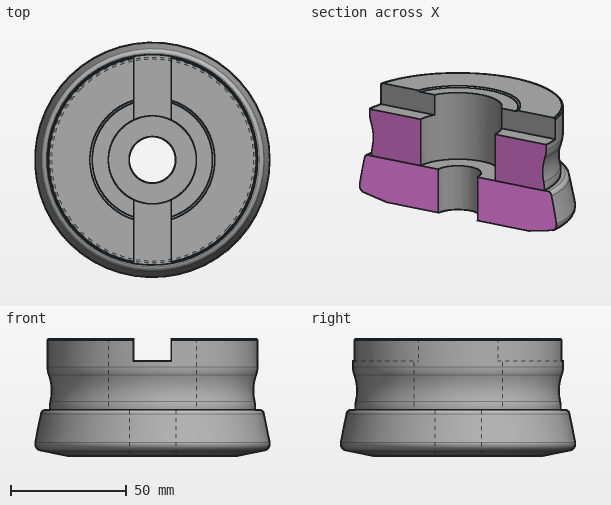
import cadquery as cq
import math

FOOT_DIAMETER = 101.5
TOTAL_HEIGHT = 50.8
FOOT_HEIGHT = 20.0

BOTTOM_FACE_DIAMETER = 73.1
FOOT_TAPER = 11.5
FOOT_LOWER_RADIUS = 3.0
FOOT_UPPER_RADIUS = 2.0
THROUGH_HOLE_DIAMETER = 20.0

HEAD_DIAMETER = 90.9
HEAD_BASE_DIAMETER = 88.8
HEAD_BORE_DIAMETER = 38.1
TOP_CHAMFER = 0.6
SHOULDER_Z = 38.6
WAIST_RADIUS = 20.3
WAIST_UPPER_ANGLE = 20.0
WAIST_LOWER_ANGLE = 13.0
SHOULDER_ARC_HEIGHT = 3.3

RECESS_DIAMETER = 54.0
RECESS_FLOOR_DIAMETER = 52.0
RECESS_DEPTH = 0.5
SLOT_WIDTH = 16.2
SLOT_DEPTH = 9.6


def point_on_arc(center, radius, degrees):
    """Point of a section arc; the angle is measured from +X toward +Z."""
    angle = math.radians(degrees)
    return (center[0] + radius * math.cos(angle), center[1] + radius * math.sin(angle))


def make_foot():
    taper = math.radians(FOOT_TAPER)
    bottom_r = BOTTOM_FACE_DIAMETER / 2
    hole_r = THROUGH_HOLE_DIAMETER / 2

    lower_x = FOOT_DIAMETER / 2 - FOOT_LOWER_RADIUS
    lower_z = FOOT_LOWER_RADIUS / math.cos(taper) + (lower_x - bottom_r) * math.tan(taper)
    lower = (lower_x, lower_z)

    upper_z = FOOT_HEIGHT - FOOT_UPPER_RADIUS
    radius_change = FOOT_LOWER_RADIUS - FOOT_UPPER_RADIUS
    upper_x = lower_x + radius_change / math.cos(taper) - (upper_z - lower_z) * math.tan(taper)
    upper = (upper_x, upper_z)

    lower_middle = FOOT_TAPER - 45
    upper_middle = (FOOT_TAPER + 90) / 2
    section = (
        cq.Workplane("XZ")
        .moveTo(hole_r, 0)
        .lineTo(bottom_r, 0)
        .lineTo(*point_on_arc(lower, FOOT_LOWER_RADIUS, FOOT_TAPER - 90))
        .threePointArc(
            point_on_arc(lower, FOOT_LOWER_RADIUS, lower_middle),
            point_on_arc(lower, FOOT_LOWER_RADIUS, FOOT_TAPER),
        )
        .lineTo(*point_on_arc(upper, FOOT_UPPER_RADIUS, FOOT_TAPER))
        .threePointArc(
            point_on_arc(upper, FOOT_UPPER_RADIUS, upper_middle),
            (upper_x, FOOT_HEIGHT),
        )
        .lineTo(hole_r, FOOT_HEIGHT)
        .close()
    )
    return section.revolve(360, (0, 0, 0), (0, 1, 0))


def make_head_blank():
    head_r = HEAD_DIAMETER / 2
    bore_r = HEAD_BORE_DIAMETER / 2
    base = (HEAD_BASE_DIAMETER / 2, FOOT_HEIGHT)

    shoulder_lean = math.tan(math.radians(WAIST_UPPER_ANGLE / 2))
    waist_top = (head_r - SHOULDER_ARC_HEIGHT * shoulder_lean, SHOULDER_Z - SHOULDER_ARC_HEIGHT)

    upper_angle = math.radians(WAIST_UPPER_ANGLE)
    waist_center = (
        waist_top[0] + WAIST_RADIUS * math.cos(upper_angle),
        waist_top[1] - WAIST_RADIUS * math.sin(upper_angle),
    )
    waist_middle = point_on_arc(waist_center, WAIST_RADIUS, 180)
    waist_bottom = point_on_arc(waist_center, WAIST_RADIUS, 180 + WAIST_LOWER_ANGLE)

    section = (
        cq.Workplane("XZ")
        .moveTo(bore_r, TOTAL_HEIGHT)
        .lineTo(head_r - TOP_CHAMFER, TOTAL_HEIGHT)
        .lineTo(head_r, TOTAL_HEIGHT - TOP_CHAMFER)
        .lineTo(head_r, SHOULDER_Z)
        .tangentArcPoint(waist_top, relative=False)
        .threePointArc(waist_middle, waist_bottom)
        .tangentArcPoint(base, relative=False)
        .lineTo(bore_r, FOOT_HEIGHT)
        .close()
    )
    return section.revolve(360, (0, 0, 0), (0, 1, 0))


def make_recess_cutter():
    """Shallow dish with a sloped rim around the bore."""
    return (
        cq.Workplane("XY", origin=(0, 0, TOTAL_HEIGHT))
        .circle(RECESS_DIAMETER / 2)
        .workplane(offset=-RECESS_DEPTH)
        .circle(RECESS_FLOOR_DIAMETER / 2)
        .loft(ruled=True)
    )


def make_slot_cutter():
    """Straight slot along Y, right across the head."""
    return (
        cq.Workplane("XY", origin=(0, 0, TOTAL_HEIGHT))
        .rect(SLOT_WIDTH, FOOT_DIAMETER)
        .extrude(-SLOT_DEPTH)
    )


def make_head():
    return make_head_blank().cut(make_recess_cutter()).cut(make_slot_cutter())


foot = make_foot()
head = make_head()
result = cq.Compound.makeCompound([foot.val(), head.val()])